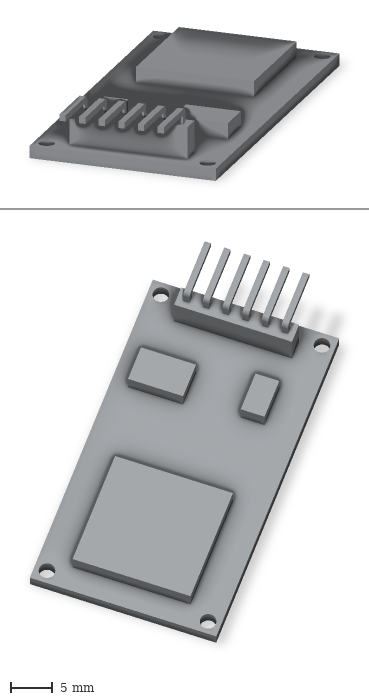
import cadquery as cq

board_width = 23.6
board_length = 43.2
board_thickness = 1.55
hole_diameter = 2.0
hole_inset = 1.6

left_line = -7.45
antenna_side = 14.95
antenna_y = 25.2
module_height = 2.03
left_chip_width = 3.0
left_chip_length = 5.2
left_chip_y = 8.95
right_chip_x = 2.65
right_chip_width = 6.95
right_chip_length = 4.55
right_chip_y = 10.2

header_length = antenna_side
header_depth = 2.5
header_height = 4.05
header_y = 2.0
pin_count = 6
pin_pitch = header_length / pin_count
pin_width = 0.8
total_height = 7.5
total_length = 47.1
pin_tip_y = board_length - total_length
pin_back_y = header_y + header_depth / 2 + pin_width / 2
outer_bend_radius = 0.6
inner_bend_radius = 0.2


def block(x, y, width, length, height):
    """Box on the board's top face, given by its front-left corner."""
    return cq.Workplane("XY").box(width, length, height, centered=False).translate((x, y, board_thickness))


def make_board():
    board = cq.Workplane("XY").box(board_width, board_length, board_thickness, centered=(True, False, False))
    x = board_width / 2 - hole_inset
    corners = [(sx, y) for sx in (-x, x) for y in (hole_inset, board_length - hole_inset)]
    holes = cq.Workplane("XY").pushPoints(corners).circle(hole_diameter / 2).extrude(board_thickness)
    return board.cut(holes)


def make_pin(center_x):
    """Pin rising from the header, then bent forward past the board edge."""
    header_top = board_thickness + header_height
    inner_y = pin_back_y - pin_width
    inner_z = total_height - pin_width
    return (
        cq.Workplane("YZ")
        .moveTo(pin_back_y, header_top)
        .lineTo(pin_back_y, total_height - outer_bend_radius)
        .radiusArc((pin_back_y - outer_bend_radius, total_height), -outer_bend_radius)
        .lineTo(pin_tip_y, total_height)
        .lineTo(pin_tip_y, total_height - pin_width)
        .lineTo(inner_y - inner_bend_radius, inner_z)
        .radiusArc((inner_y, inner_z - inner_bend_radius), inner_bend_radius)
        .lineTo(inner_y, header_top)
        .close()
        .extrude(pin_width / 2, both=True)
        .translate((center_x, 0, 0))
    )


result = make_board()
result = result.union(block(left_line, antenna_y, antenna_side, antenna_side, module_height))
result = result.union(block(left_line, left_chip_y, left_chip_width, left_chip_length, module_height))
result = result.union(block(right_chip_x, right_chip_y, right_chip_width, right_chip_length, module_height))
result = result.union(block(left_line, header_y, header_length, header_depth, header_height))
for i in range(pin_count):
    result = result.union(make_pin(left_line + (i + 0.5) * pin_pitch))